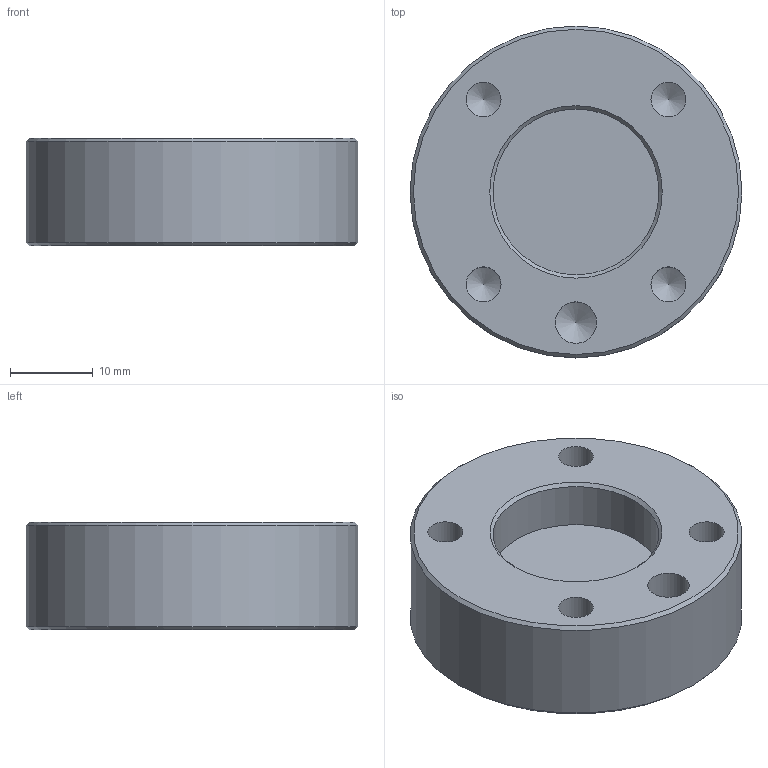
import cadquery as cq
import math

body_diameter = 40.0
body_height = 13.0
edge_chamfer = 0.4

bore_diameter = 20.0
bore_depth = 6.0

pitch_radius = 15.75
drill_depth = 10.0
drill_point_angle = 118.0
bolt_hole_diameter = 4.2
bolt_hole_angles = (45.0, 135.0, 225.0, 315.0)
pin_hole_diameter = 5.0
pin_hole_angle = 270.0


def make_body():
    """Disc standing on Z = 0, chamfered around both rims."""
    disc = cq.Workplane("XY").circle(body_diameter / 2).extrude(body_height)
    return disc.edges("%CIRCLE").chamfer(edge_chamfer)


def make_bore():
    """Flat-bottomed bore with a 45 degree chamfer at its mouth."""
    radius = bore_diameter / 2
    floor_z = body_height - bore_depth
    profile = [
        (0, floor_z),
        (radius, floor_z),
        (radius, body_height - edge_chamfer),
        (radius + edge_chamfer, body_height),
        (0, body_height),
    ]
    return cq.Workplane("XZ").polyline(profile).close().revolve(360, (0, 0), (0, 1))


def make_drilled_hole(diameter, angle):
    """Blind hole with a conical drill point, placed on the pitch circle."""
    radius = diameter / 2
    shoulder_z = body_height - drill_depth
    point_length = radius / math.tan(math.radians(drill_point_angle / 2))
    profile = [
        (0, shoulder_z - point_length),
        (radius, shoulder_z),
        (radius, body_height),
        (0, body_height),
    ]
    hole = cq.Workplane("XZ").polyline(profile).close().revolve(360, (0, 0), (0, 1))
    x = pitch_radius * math.cos(math.radians(angle))
    y = pitch_radius * math.sin(math.radians(angle))
    return hole.translate((x, y, 0))


result = make_body().cut(make_bore())
for bolt_hole_angle in bolt_hole_angles:
    result = result.cut(make_drilled_hole(bolt_hole_diameter, bolt_hole_angle))
result = result.cut(make_drilled_hole(pin_hole_diameter, pin_hole_angle))